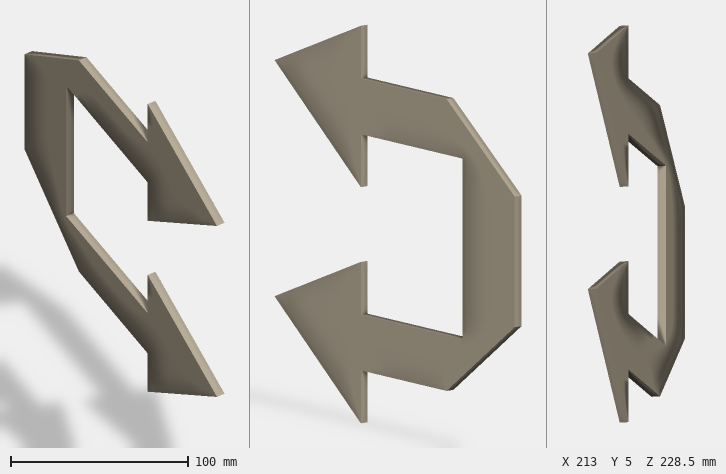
import cadquery as cq

length = 213.0
thickness = 5.0
height = 228.5

head_height = 92.8
head_back_x = 136.5
tip_rise = 61.3
upper_head_z = height - head_height

arm_rise = 30.5
arm_width = 32.0
lower_arm_bottom = arm_rise
lower_arm_top = lower_arm_bottom + arm_width
upper_arm_bottom = upper_head_z + arm_rise
upper_arm_top = upper_arm_bottom + arm_width

upright_width = 46.2
corner_x = 60.4
left_edge_bottom = 76.4
left_edge_top = 151.5


def arrowhead(barb_z):
    """Corners of an arrowhead, from its lower barb to its upper barb."""
    return [
        (head_back_x, barb_z),
        (length, barb_z + tip_rise),
        (head_back_x, barb_z + head_height),
    ]


outline = [
    (0, left_edge_bottom),
    (corner_x, lower_arm_bottom),
    (head_back_x, lower_arm_bottom),
    *arrowhead(0),
    (head_back_x, lower_arm_top),
    (upright_width, lower_arm_top),
    (upright_width, upper_arm_bottom),
    (head_back_x, upper_arm_bottom),
    *arrowhead(upper_head_z),
    (head_back_x, upper_arm_top),
    (corner_x, upper_arm_top),
    (0, left_edge_top),
]

result = cq.Workplane("XZ").polyline(outline).close().extrude(thickness)